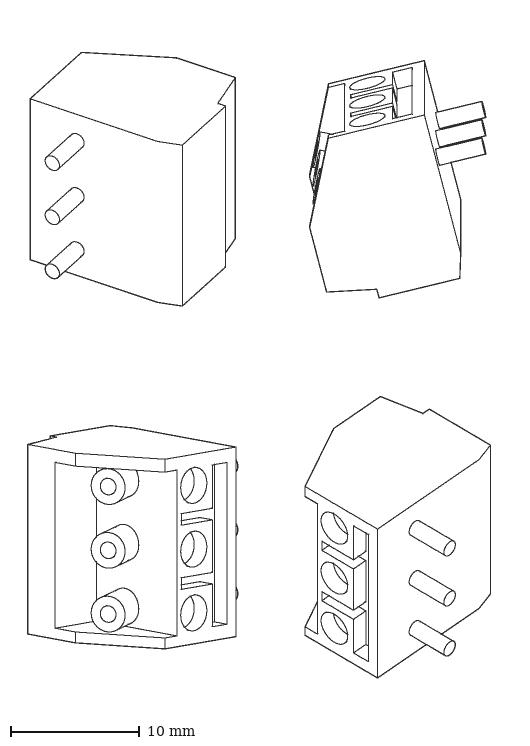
import cadquery as cq
import math

height = 15.0
body_width = 13.53
body_depth = 10.89
front_chamfer_start = 11.62
front_chamfer_rise = 0.55
ledge_y = 7.05
ledge_inner_x = 12.81
crown_start_x = 6.72
crown_end_x = 12.08
slope_start_y = 7.7

pole_pitch = 5.04
middle_pole_z = 7.5
pole_heights = [middle_pole_z + step * pole_pitch for step in (-1, 0, 1)]

pin_diameter = 1.3
pin_length = 14.58 - body_depth
pin_x = 4.28

recess_floor_y = 6.39
recess_back_x = 9.0
recess_bottom_z = 0.87
recess_top_z = 13.98
sleeve_diameter = 2.82
sleeve_bore = 1.3
sleeve_end_y = 9.72
sleeve_length = 6.0

entry_depth = 1.41
entry_diameter = 2.82
entry_y = 4.58
groove_y = (0.98, 2.55)
groove_z = (1.11, 13.9)
tooth_end_y = 5.91
tooth_thickness = 0.92
tooth_heights = [4.95, 10.02]


def box_between(x_range, y_range, z_range):
    """Box spanning the given coordinate ranges."""
    lengths = [high - low for low, high in (x_range, y_range, z_range)]
    corner = (x_range[0], y_range[0], z_range[0])
    return cq.Workplane("XY").box(*lengths, centered=False).translate(corner)


def rod(start, direction, diameter, length):
    """Cylinder running from a start point along a direction."""
    solid = cq.Solid.makeCylinder(diameter / 2, length, cq.Vector(*start), cq.Vector(*direction))
    return cq.Workplane(obj=solid)


def make_housing():
    outline = [
        (0, 0),
        (front_chamfer_start, 0),
        (body_width, front_chamfer_rise),
        (body_width, ledge_y),
        (ledge_inner_x, ledge_y),
        (crown_end_x, body_depth),
        (crown_start_x, body_depth),
        (0, slope_start_y),
    ]
    return cq.Workplane("XY").polyline(outline).close().extrude(height)


housing = make_housing()

recess = box_between(
    (0, recess_back_x), (recess_floor_y, body_depth), (recess_bottom_z, recess_top_z)
)
result = housing.cut(recess)

slope_angle = math.atan2(body_depth - slope_start_y, crown_start_x)
inward = (math.sin(slope_angle), -math.cos(slope_angle), 0)
sleeve_end_x = (sleeve_end_y - slope_start_y) / math.tan(slope_angle)
bore_depth = (sleeve_end_y - recess_floor_y) / math.cos(slope_angle)
for z in pole_heights:
    sleeve_end = (sleeve_end_x, sleeve_end_y, z)
    sleeve = rod(sleeve_end, inward, sleeve_diameter, sleeve_length)
    bore = rod(sleeve_end, inward, sleeve_bore, bore_depth)
    result = result.union(sleeve).cut(bore)

for z in pole_heights:
    result = result.cut(rod((0, entry_y, z), (1, 0, 0), entry_diameter, entry_depth))

result = result.cut(box_between((0, entry_depth), groove_y, groove_z))
for z in tooth_heights:
    tooth_z = (z - tooth_thickness / 2, z + tooth_thickness / 2)
    result = result.cut(box_between((0, entry_depth), (groove_y[0], tooth_end_y), tooth_z))

for z in pole_heights:
    result = result.union(rod((pin_x, 0, z), (0, -1, 0), pin_diameter, pin_length))